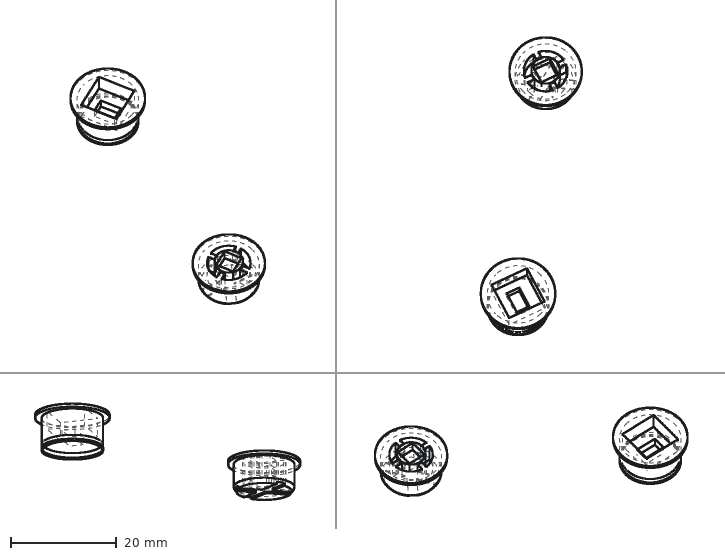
import cadquery as cq

flange_thickness = 0.6
top_height = 7.0

socket_flange_diameter = 14.1
socket_barrel_diameter = 11.6
lip_diameter = 11.7
lip_height = 0.4
square_recess_side = 7.45
square_recess_depth = 3.6
inner_recess_length = 4.25
inner_recess_width = 2.65
inner_recess_depth = 1.8
cavity_diameter = 11.25
cavity_height = 1.25

stopper_flange_diameter = 13.7
stopper_barrel_diameter = 11.5
stopper_base_height = 0.6
taper_height = 0.9
taper_inset = 0.5
hub_diameter = 5.4
hub_rise = 0.4
hub_recess_side = 3.6
hub_recess_depth = 2.1
annulus_diameter = 8.2
annulus_depth = 4.15
spoke_width = 1.05
cross_angle = 57
cross_groove_width = 1.8
cross_groove_depth = 0.35

overall_length = 51.9
overall_width = 38.7
socket_center = (socket_flange_diameter / 2, overall_width - socket_flange_diameter / 2)
stopper_center = (overall_length - stopper_flange_diameter / 2, stopper_flange_diameter / 2)


def disc(diameter, bottom, top):
    """Upright cylinder on the Z axis between two heights."""
    return cq.Workplane("XY").workplane(offset=bottom).circle(diameter / 2).extrude(top - bottom)


def block(length, width, bottom, top):
    """Upright rectangular block centered on the Z axis between two heights."""
    return cq.Workplane("XY").workplane(offset=bottom).rect(length, width).extrude(top - bottom)


def make_socket():
    flange = disc(socket_flange_diameter, top_height - flange_thickness, top_height)
    barrel = disc(socket_barrel_diameter, 0, top_height)
    lip = disc(lip_diameter, 0, lip_height)

    square_floor = top_height - square_recess_depth
    square_recess = block(square_recess_side, square_recess_side, square_floor, top_height)
    inner_recess = block(
        inner_recess_length, inner_recess_width, square_floor - inner_recess_depth, square_floor
    )
    cavity = disc(cavity_diameter, 0, cavity_height)

    return flange.union(barrel).union(lip).cut(square_recess).cut(inner_recess).cut(cavity)


def make_annular_pockets(flange_top):
    """Ring-shaped pocket around the hub, divided into quarters by four spokes."""
    floor = flange_top - annulus_depth
    ring = disc(annulus_diameter, floor, flange_top).cut(disc(hub_diameter, floor, flange_top))
    for length, width in ((annulus_diameter, spoke_width), (spoke_width, annulus_diameter)):
        ring = ring.cut(block(length, width, floor, flange_top))
    return ring


def make_stopper():
    flange_top = top_height - hub_rise
    flange = disc(stopper_flange_diameter, flange_top - flange_thickness, flange_top)
    barrel = disc(stopper_barrel_diameter, stopper_base_height, flange_top)
    barrel = barrel.faces("<Z").chamfer(taper_height, taper_inset)
    hub = disc(hub_diameter, flange_top, top_height)
    stopper = flange.union(barrel).union(hub)

    stopper = stopper.cut(make_annular_pockets(flange_top))
    stopper = stopper.cut(
        block(hub_recess_side, hub_recess_side, top_height - hub_recess_depth, top_height)
    )

    groove = block(
        stopper_barrel_diameter, cross_groove_width,
        stopper_base_height, stopper_base_height + cross_groove_depth,
    )
    for angle in (cross_angle, -cross_angle):
        stopper = stopper.cut(groove.rotate((0, 0, 0), (0, 0, 1), angle))
    return stopper


socket = make_socket().translate((*socket_center, 0))
stopper = make_stopper().translate((*stopper_center, 0))

result = cq.Compound.makeCompound([socket.val(), stopper.val()])